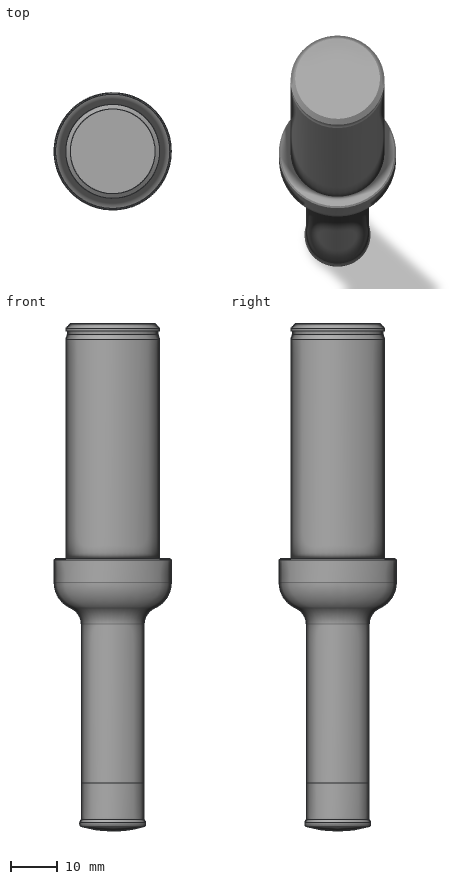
import cadquery as cq
import math

total_height = 108.0

stem_radius = 20.0 / 2
end_chamfer_width = 1.0
end_chamfer_height = 1.1
end_rim_height = 0.5
groove_depth = 0.3
groove_floor_height = 0.8
groove_taper_height = 1.0

collar_radius = 25.0 / 2
collar_top_z = 58.0
collar_chamfer = 0.3
collar_round_start_z = 52.9
collar_round_radius = 5.9
shank_fillet_radius = 3.8

shank_radius = 13.4 / 2
tip_top_z = 10.3
tip_neck_z = 2.5
tip_rim_radius = 7.0
tip_rim_top_z = 1.8
tip_dome_height = 1.1
tip_edge_fillet = 0.5


def polar_point(center, radius, angle):
    """Point at the given angle on a circle in the (radius, height) plane."""
    return (center[0] + radius * math.cos(angle), center[1] + radius * math.sin(angle))


def revolve_profile(profile):
    """Revolve a closed (radius, height) profile about the Z axis."""
    return profile.close().revolve(360, (0, 0, 0), (0, 1, 0))


def make_punch():
    """Stem, collar and shank as one turned solid."""
    end_chamfer_z = total_height - end_chamfer_height
    groove_top_z = end_chamfer_z - end_rim_height
    groove_floor_z = groove_top_z - groove_floor_height
    groove_end_z = groove_floor_z - groove_taper_height
    groove_radius = stem_radius - groove_depth

    round_center = (collar_radius - collar_round_radius, collar_round_start_z)
    fillet_center_x = shank_radius + shank_fillet_radius
    center_distance = collar_round_radius + shank_fillet_radius
    join_angle = -math.acos((fillet_center_x - round_center[0]) / center_distance)
    fillet_center = polar_point(round_center, center_distance, join_angle)
    join_point = polar_point(round_center, collar_round_radius, join_angle)
    round_middle = polar_point(round_center, collar_round_radius, join_angle / 2)
    fillet_middle_angle = math.pi + join_angle / 2
    fillet_middle = polar_point(fillet_center, shank_fillet_radius, fillet_middle_angle)

    profile = (
        cq.Workplane("XZ")
        .moveTo(0, total_height)
        .lineTo(stem_radius - end_chamfer_width, total_height)
        .lineTo(stem_radius, end_chamfer_z)
        .lineTo(stem_radius, groove_top_z)
        .lineTo(groove_radius, groove_top_z)
        .lineTo(groove_radius, groove_floor_z)
        .lineTo(stem_radius, groove_end_z)
        .lineTo(stem_radius, collar_top_z)
        .lineTo(collar_radius - collar_chamfer, collar_top_z)
        .lineTo(collar_radius, collar_top_z - collar_chamfer)
        .lineTo(collar_radius, collar_round_start_z)
        .threePointArc(round_middle, join_point)
        .threePointArc(fillet_middle, (shank_radius, fillet_center[1]))
        .lineTo(shank_radius, tip_top_z)
        .lineTo(0, tip_top_z)
    )
    return revolve_profile(profile)


def make_tip():
    """Tip with a plain neck, a conical-topped rim and a rounded, domed lower face."""
    dome_radius = (tip_rim_radius**2 + tip_dome_height**2) / (2 * tip_dome_height)
    dome_half_angle = math.asin(tip_rim_radius / dome_radius)
    dome_middle = polar_point((0, dome_radius), dome_radius, (dome_half_angle - math.pi) / 2)

    profile = (
        cq.Workplane("XZ")
        .moveTo(0, tip_top_z)
        .lineTo(shank_radius, tip_top_z)
        .lineTo(shank_radius, tip_neck_z)
        .lineTo(tip_rim_radius, tip_rim_top_z)
        .lineTo(tip_rim_radius, tip_dome_height)
        .threePointArc(dome_middle, (0, 0))
    )
    blank = revolve_profile(profile)
    return blank.faces("<Z").edges(">Z").fillet(tip_edge_fillet)


punch = make_punch()
tip = make_tip()

result = cq.Compound.makeCompound([punch.val(), tip.val()])